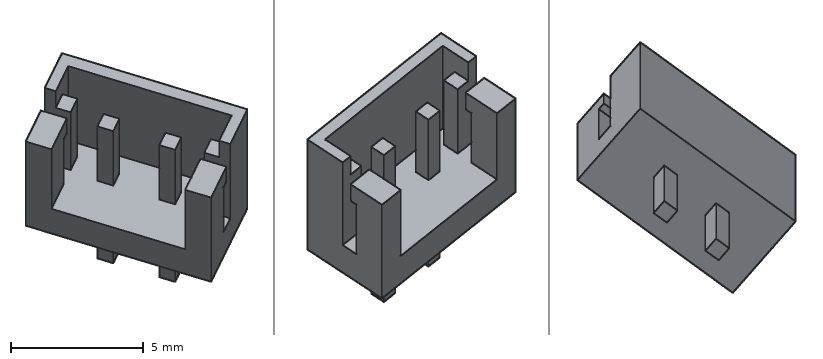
import cadquery as cq


width = 7.5
depth = 3.8
height = 6.0
floor_thickness = 1.5
back_wall = 0.5
side_wall = 0.45
side_wall_depth = 1.8

post_width = 1.05
post_depth = 1.3
post_top = 5.1
hook_reach = 0.3
hook_height = 0.9
rib_depth = 0.7
rib_top = 5.0

pin_size = 0.64
pin_pitch = 2.5
pin_top = 4.8
pin_bottom = -3.2
pin_to_back = 1.6

back_y = pin_to_back
front_y = back_y - depth
side_wall_front_y = back_y - side_wall_depth
half_width = width / 2


def block(x_min, x_max, y_min, y_max, z_min, z_max):
    """Axis-aligned block between the given limits."""
    return cq.Workplane("XY").box(
        x_max - x_min, y_max - y_min, z_max - z_min, centered=False
    ).translate((x_min, y_min, z_min))


def make_floor_and_back():
    """Floor and back wall."""
    floor = block(-half_width, half_width, front_y, back_y, 0, floor_thickness)
    back = block(-half_width, half_width, back_y - back_wall, back_y, 0, height)
    return floor.union(back)


def make_left_side():
    """Side wall, guide rib and hooked front post at the -X end."""
    outer_x = -half_width
    inner_x = outer_x + post_width
    wall = block(outer_x, outer_x + side_wall, side_wall_front_y, back_y, 0, height)
    rib = block(outer_x, inner_x, side_wall_front_y, side_wall_front_y + rib_depth, 0, rib_top)
    post_back_y = front_y + post_depth
    post = block(outer_x, inner_x, front_y, post_back_y, 0, post_top)
    hook = block(
        outer_x, inner_x, front_y, post_back_y + hook_reach, post_top - hook_height, post_top
    )
    return wall.union(rib).union(post).union(hook)


def make_pin(x):
    """Square pin through the floor, centred at x."""
    half_pin = pin_size / 2
    return block(x - half_pin, x + half_pin, -half_pin, half_pin, pin_bottom, pin_top)


left_side = make_left_side()
result = make_floor_and_back().union(left_side).union(left_side.mirror("YZ"))
for pin_x in (-pin_pitch / 2, pin_pitch / 2):
    result = result.union(make_pin(pin_x))